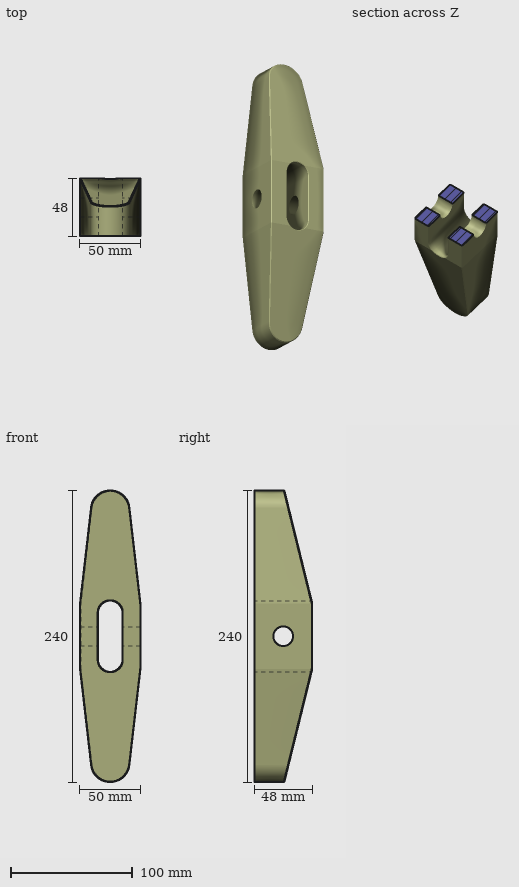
import cadquery as cq
import math

LENGTH = 240.0
WIDTH = 50.0
DEPTH = 48.0
TIP_DEPTH = 25.0
TIP_RADIUS = 16.0
MIDDLE_LENGTH = 54.0
SLOT_WIDTH = 20.0
SLOT_LENGTH = 58.4
CROSS_HOLE_DIAMETER = 16.0
EDGE_CHAMFER = 0.5
BACK_RIM_CHAMFER = 0.7
SELECTION_MARGIN = 1.0

half_length = LENGTH / 2
half_width = WIDTH / 2
half_middle = MIDDLE_LENGTH / 2


def tip_tangent_point():
    """Point (x, z) where the tapered side runs tangentially into the upper tip arc."""
    tip_center_z = half_length - TIP_RADIUS
    center_to_corner = math.hypot(half_width, tip_center_z - half_middle)
    corner_direction = math.atan2(half_middle - tip_center_z, half_width)
    tangent_direction = corner_direction + math.acos(TIP_RADIUS / center_to_corner)
    x = TIP_RADIUS * math.cos(tangent_direction)
    z = tip_center_z + TIP_RADIUS * math.sin(tangent_direction)
    return x, z


def bar():
    """Outline with parallel middle sides, tapered arms and round tips, over the full depth."""
    x, z = tip_tangent_point()
    return (
        cq.Workplane("XZ")
        .moveTo(half_width, -half_middle)
        .lineTo(half_width, half_middle)
        .lineTo(x, z)
        .threePointArc((0, half_length), (-x, z))
        .lineTo(-half_width, half_middle)
        .lineTo(-half_width, -half_middle)
        .lineTo(-x, -z)
        .threePointArc((0, -half_length), (x, -z))
        .close()
        .extrude(-DEPTH)
    )


def side_profile():
    """Side shape, flat at Y = 0, whose back slopes from the middle down to the tips."""
    return (
        cq.Workplane("YZ")
        .polyline([
            (0, -half_length),
            (TIP_DEPTH, -half_length),
            (DEPTH, -half_middle),
            (DEPTH, half_middle),
            (TIP_DEPTH, half_length),
            (0, half_length),
        ])
        .close()
        .extrude(half_width, both=True)
    )


def slot():
    """Long round-ended opening through the depth."""
    return cq.Workplane("XZ").slot2D(SLOT_LENGTH, SLOT_WIDTH, 90).extrude(-DEPTH)


def cross_hole():
    """Round hole across the width, at mid-depth of the middle section."""
    return (
        cq.Workplane("YZ")
        .center(DEPTH / 2, 0)
        .circle(CROSS_HOLE_DIAMETER / 2)
        .extrude(half_width, both=True)
    )


def back_rims(body):
    """All edges around the flat and sloped back faces, except the bends between those faces."""
    return body.faces("%PLANE and (not #Y) and (not <Y)").edges("not |X")


def front_rims(body):
    """All edges around the flat front face."""
    return body.faces("<Y").edges()


def slot_edges():
    """Selector for the edges lying within the slot opening."""
    half_slot_width = SLOT_WIDTH / 2 + SELECTION_MARGIN
    half_slot_length = SLOT_LENGTH / 2 + SELECTION_MARGIN
    return cq.selectors.BoxSelector(
        (-half_slot_width, -SELECTION_MARGIN, -half_slot_length),
        (half_slot_width, DEPTH + SELECTION_MARGIN, half_slot_length),
        boundingbox=True,
    )


body = bar().intersect(side_profile())
body = back_rims(body).chamfer(BACK_RIM_CHAMFER)
body = body.cut(slot())
body = back_rims(body).edges(slot_edges()).chamfer(EDGE_CHAMFER)
body = front_rims(body).chamfer(EDGE_CHAMFER)

result = body.cut(cross_hole())